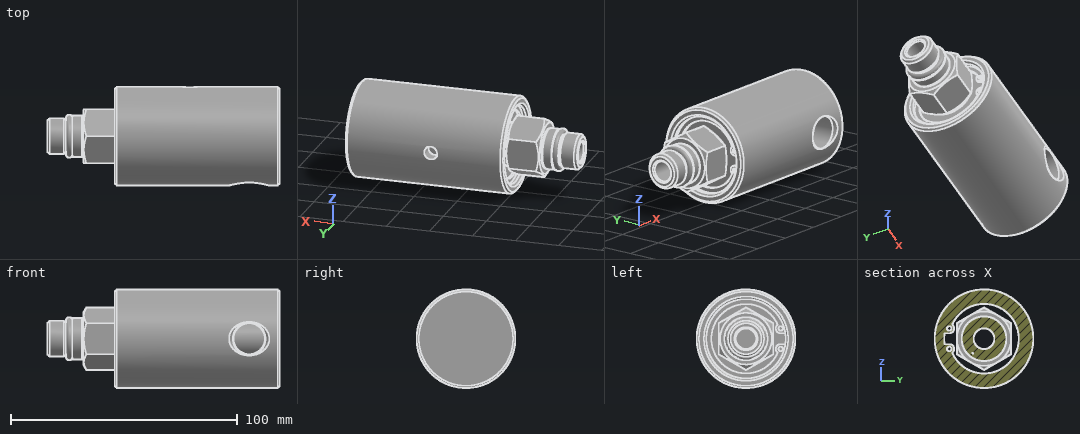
import cadquery as cq
import math

total_length = 102.8
body_start = 29.8
body_diameter = 43.7
body_chamfer = 1

nose_diameter = 15.9
nose_chamfer = 1.1
nose_taper_start = 7.3
nose_taper_end = 8.3
nose_taper_drop = 0.9
ring_groove_diameter = 13.9
ring_section_diameter = 2.9
ring_outer_diameter = 19.1
collar_start = 11.2
collar_end = 15.2
collar_chamfer = 0.3
collar_diameter = 18.4
neck_diameter = 17.8

hex_start = 15.9
hex_end = 31.0
hex_across_flats = 24.0
hex_face_diameter = 22.8
hex_bevel_angle = 30
hex_corner_angle = 60

recess_mouth_diameter = 37.2
recess_diameter = 35.0
recess_depth = 3.6
shaft_diameter = 19.8

clip_thickness = 1
clip_inner_diameter = 30.6
lug_radius = 2.2
lug_center_y = -15.3
lug_center_z = 4.5
lug_hole_diameter = 2.0

passage_diameter = 9.0
passage_chamfer = 0.6

port_x = 89.2
port_end_diameter = 13.5
port_mouth_diameter = 14.9
port_seat_diameter = 14.5
port_bevel_slope = 1.1
spindle_diameter = 15.9

vent_x = 63.0
vent_diameter = 6.0
vent_depth = 6.2

body_radius = body_diameter / 2
recess_floor = body_start + recess_depth


def cylinder_x(start, end, diameter):
    """Cylinder on the part axis between two X positions."""
    return cq.Workplane("YZ", origin=(start, 0, 0)).circle(diameter / 2).extrude(end - start)


def revolve_x(profile):
    """Solid of revolution about the part axis from (x, radius) points."""
    return cq.Workplane("XY").polyline(profile).close().revolve(360, (0, 0, 0), (1, 0, 0))


def cone_y(outer_y, outer_radius, inner_y, inner_radius, x):
    """Round tapered solid along Y at the given X."""
    profile = [(x, outer_y), (x + outer_radius, outer_y), (x + inner_radius, inner_y), (x, inner_y)]
    return cq.Workplane("XY").polyline(profile).close().revolve(360, (x, 0, 0), (x, 1, 0))


def make_body():
    body = cylinder_x(body_start, total_length, body_diameter).edges("%CIRCLE").chamfer(body_chamfer)
    mouth_radius = recess_mouth_diameter / 2
    recess_radius = recess_diameter / 2
    profile = [
        (body_start, 0),
        (body_start, mouth_radius),
        (body_start + mouth_radius - recess_radius, recess_radius),
        (recess_floor, recess_radius),
        (recess_floor, 0),
    ]
    return body.cut(revolve_x(profile))


def make_nose():
    radius = nose_diameter / 2
    groove_radius = ring_groove_diameter / 2
    profile = [
        (0, 0),
        (0, radius - nose_chamfer),
        (nose_chamfer, radius),
        (nose_taper_start, radius),
        (nose_taper_end, radius - nose_taper_drop),
        (nose_taper_end, groove_radius),
        (collar_start, groove_radius),
        (collar_start, collar_diameter / 2),
        (collar_end, collar_diameter / 2),
        (collar_end + collar_chamfer, neck_diameter / 2),
        (hex_start, neck_diameter / 2),
        (hex_start, 0),
    ]
    nose = revolve_x(profile)
    section_radius = ring_section_diameter / 2
    ring_x = collar_start - section_radius
    ring_center_radius = ring_outer_diameter / 2 - section_radius
    ring = (
        cq.Workplane("XY")
        .center(ring_x, ring_center_radius)
        .circle(section_radius)
        .revolve(360, (0, -ring_center_radius, 0), (1, -ring_center_radius, 0))
    )
    return nose.union(ring)


def make_hexagon():
    across_corners = hex_across_flats / math.cos(math.radians(hex_corner_angle / 2))
    prism = (
        cq.Workplane("YZ", origin=(hex_start, 0, 0))
        .polygon(360 // hex_corner_angle, across_corners)
        .extrude(hex_end - hex_start)
        .rotate((0, 0, 0), (1, 0, 0), hex_corner_angle / 2)
    )
    face_radius = hex_face_diameter / 2
    rim_radius = across_corners / 2
    back_radius = hex_across_flats / 2
    bevel_slope = math.tan(math.radians(hex_bevel_angle))
    profile = [
        (hex_start, 0),
        (hex_start, face_radius),
        (hex_start + (rim_radius - face_radius) * bevel_slope, rim_radius),
        (hex_end - (rim_radius - back_radius) * bevel_slope, rim_radius),
        (hex_end, back_radius),
        (hex_end, 0),
    ]
    bevels = revolve_x(profile)
    return prism.intersect(bevels).union(cylinder_x(hex_start, recess_floor, shaft_diameter))


def make_retaining_ring():
    """Open ring; its gap faces -Y between two drilled lugs."""
    start = recess_floor - clip_thickness
    clip = cylinder_x(start, recess_floor, recess_diameter)
    clip = clip.cut(cylinder_x(start, recess_floor, clip_inner_diameter))
    plane = cq.Workplane("YZ", origin=(start, 0, 0))
    gap_width = 2 * (lug_center_z - lug_radius)
    gap = plane.center(-recess_diameter / 2, 0).rect(recess_diameter, gap_width).extrude(clip_thickness)
    lug_centers = [(lug_center_y, -lug_center_z), (lug_center_y, lug_center_z)]
    lugs = plane.pushPoints(lug_centers).circle(lug_radius).extrude(clip_thickness)
    holes = plane.pushPoints(lug_centers).circle(lug_hole_diameter / 2).extrude(clip_thickness)
    root_length = recess_diameter / 2 + lug_center_y
    root_centers = [(y - root_length / 2, z) for y, z in lug_centers]
    roots = plane.pushPoints(root_centers).rect(root_length, 2 * lug_radius).extrude(clip_thickness)
    roots = roots.intersect(cylinder_x(start, recess_floor, recess_diameter))
    return clip.cut(gap).union(lugs).union(roots).cut(holes)


def make_passage():
    mouth_radius = passage_diameter / 2 + passage_chamfer
    profile = [
        (0, 0),
        (0, mouth_radius),
        (passage_chamfer, passage_diameter / 2),
        (port_x, passage_diameter / 2),
        (port_x, 0),
    ]
    return revolve_x(profile)


def make_port():
    """Bevelled side opening that stops on the round spindle."""
    end_radius = port_end_diameter / 2
    seat_radius = port_seat_diameter / 2
    mouth_radius = port_mouth_diameter / 2
    bevel_outer_y = -math.sqrt(body_radius**2 - mouth_radius**2)
    overshoot = body_radius + bevel_outer_y
    seat_y = bevel_outer_y + (mouth_radius - seat_radius) / port_bevel_slope
    bevel = cone_y(
        bevel_outer_y - overshoot,
        mouth_radius + overshoot * port_bevel_slope,
        seat_y,
        seat_radius,
        port_x,
    )
    bore = cone_y(seat_y, seat_radius, 0, end_radius, port_x)
    spindle = cylinder_x(body_start, total_length, spindle_diameter)
    return bore.cut(spindle).union(bevel)


def make_vent():
    radius = vent_diameter / 2
    return cone_y(body_radius, radius, body_radius - vent_depth, radius, vent_x)


result = (
    make_body()
    .union(make_nose())
    .union(make_hexagon())
    .union(make_retaining_ring())
    .cut(make_passage())
    .cut(make_port())
    .cut(make_vent())
)